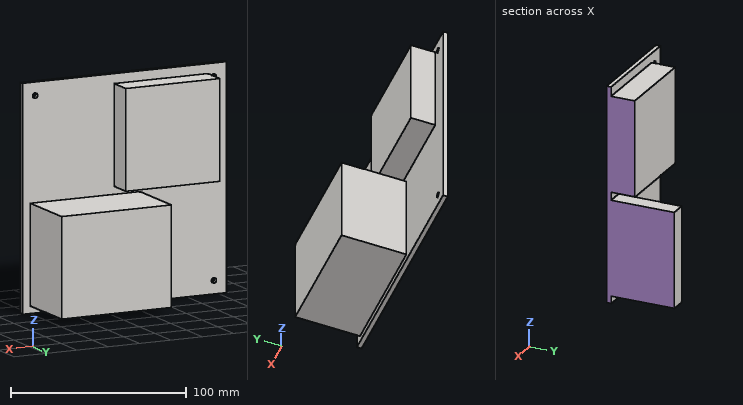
import cadquery as cq

plate_width = 130.0
plate_height = 135.0
plate_thickness = 3.0

hole_diameter = 3.0
hole_inset = 8.0

large_width = 70.0
large_height = 60.0
large_depth = 40.0
large_right_gap = 4.75
large_bottom_gap = 4.5

small_width = 60.0
small_height = 60.0
small_depth = 15.0
small_left_gap = 11.8
small_top_gap = 5.8


def box_at(x, y, z, width, depth, height):
    """Box whose lowest corner in X, Y and Z is at the given point."""
    return cq.Workplane("XY").box(width, depth, height, centered=False).translate((x, y, z))


def drilled_plate():
    """Flat plate with a through hole at each corner."""
    plate = box_at(0, 0, 0, plate_width, plate_thickness, plate_height)
    for x in (hole_inset, plate_width - hole_inset):
        for z in (hole_inset, plate_height - hole_inset):
            hole = (
                cq.Workplane("XZ")
                .center(x, z)
                .circle(hole_diameter / 2)
                .extrude(-plate_thickness)
            )
            plate = plate.cut(hole)
    return plate


def large_block():
    """Deep block on the back of the plate; it closes the lower right hole."""
    x = plate_width - large_right_gap - large_width
    return box_at(x, plate_thickness, large_bottom_gap, large_width, large_depth, large_height)


def small_block():
    """Shallow block on the back of the plate."""
    z = plate_height - small_top_gap - small_height
    return box_at(small_left_gap, plate_thickness, z, small_width, small_depth, small_height)


result = drilled_plate().union(large_block()).union(small_block())